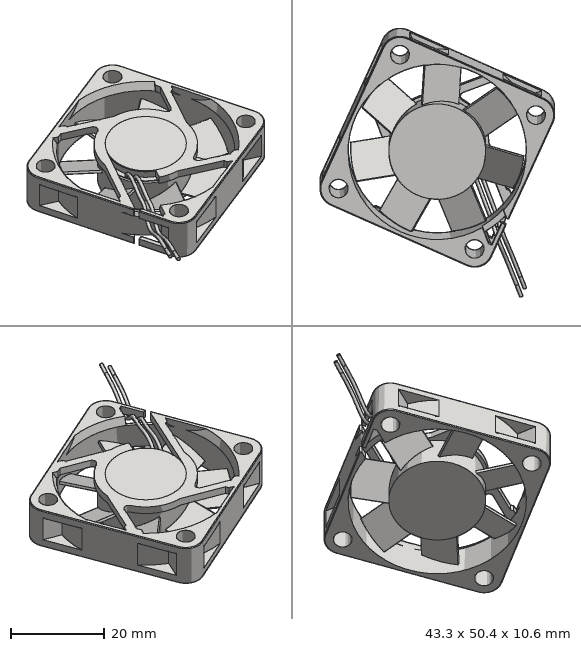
import cadquery as cq
import math


frame_side = 40.0
frame_height = 10.0
corner_radius = 4.0
edge_chamfer = 0.2
screw_pitch = 32.0
screw_hole_diameter = 4.0
wall_thickness = 0.95
bore_diameter = 38.2
mouth_diameter = 40.0

spider_thickness = 1.85
hub_plate_radius = 11.1
arm_inner_offset = 8.75
arm_width = 1.7
arm_fillet = 1.0

pocket_height = 6.0
pocket_outer_end = 15.5
pocket_ring_radius = 21.0
wire_pocket_ring_radius = 20.47

channel_edge_offset = 0.65
notch_edge_offset = 3.2
notch_end_x = 13.7
slot_start_x = 7.1
slot_end_x = 8.45
notch_ring_top = 8.05
notch_ring_bevel = 0.7

label_diameter = 17.4
label_thickness = 0.3
board_diameter = 19.75
board_thickness = 1.0
rotor_hub_diameter = 20.8
rotor_bottom = 0.3
rotor_rim_top = 8.0
blade_count = 7
blade_tip_radius = 18.6
blade_width = 8.75
blade_thickness = 0.6
blade_pitch = 27.0
blade_mid_height = 4.1
first_blade_angle = 5.0

wire_diameter = 0.8
tip_diameter = 0.79
tip_length = 2.85
wire_start_y = -9.2
wire_start_xs = (0.1, 2.03)

half_side = frame_side / 2
inner_half_side = half_side - wall_thickness
bore_radius = bore_diameter / 2
spider_bottom = frame_height - spider_thickness
arm_outer_offset = arm_inner_offset + arm_width
pocket_bottom = (frame_height - pocket_height) / 2
board_bottom = spider_bottom - board_thickness
through_height = frame_height + 2
long_side = 2 * frame_side


def cylinder(radius, bottom, top):
    return cq.Workplane("XY", origin=(0, 0, bottom)).circle(radius).extrude(top - bottom)


def prism(points, bottom, top):
    return cq.Workplane("XY", origin=(0, 0, bottom)).polyline(points).close().extrude(top - bottom)


def block(x_range, y_range, z_range):
    sizes = [high - low for low, high in (x_range, y_range, z_range)]
    corner = (x_range[0], y_range[0], z_range[0])
    return cq.Workplane("XY").box(*sizes, centered=False).translate(corner)


def about_axis(shape, angle):
    return shape.rotate((0, 0, 0), (0, 0, 1), angle)


def channel_strip(inner_offset, outer_offset, bottom, top):
    """Strip parallel to the wires; offsets are measured from the axis toward (-X, -Y)."""
    strip = block((0, long_side), (-outer_offset, -inner_offset), (bottom, top))
    return about_axis(strip, -45)


def frame_body():
    body = cq.Workplane("XY").rect(frame_side, frame_side).extrude(frame_height)
    body = body.edges("|Z").fillet(corner_radius)
    body = body.faces("<Z or >Z").edges().chamfer(edge_chamfer)
    body = body.cut(cylinder(bore_radius, -1, frame_height + 1))
    screw_holes = (
        cq.Workplane("XY", origin=(0, 0, -1))
        .rect(screw_pitch, screw_pitch, forConstruction=True)
        .vertices()
        .circle(screw_hole_diameter / 2)
        .extrude(through_height)
    )
    return body.cut(screw_holes)


def mouth_cut():
    """Conical inlet at the top of the bore, flattened where it meets the side walls."""
    cone = (
        cq.Workplane("XY", origin=(0, 0, spider_bottom))
        .circle(bore_radius)
        .workplane(offset=spider_thickness)
        .circle(mouth_diameter / 2)
        .loft(ruled=True)
    )
    inner_square = (-inner_half_side, inner_half_side)
    return cone.intersect(block(inner_square, inner_square, (0, frame_height)))


def side_pocket(ring_radius):
    """Pocket in the -Y face near the +X corner, closed by a 45 degree wall and the bore ring."""
    points = [
        (0, -half_side - 1),
        (pocket_outer_end + 1, -half_side - 1),
        (pocket_outer_end - half_side, 0),
        (0, 0),
    ]
    pocket = prism(points, pocket_bottom, pocket_bottom + pocket_height)
    return pocket.cut(cylinder(ring_radius, 0, frame_height))


def spider_arm():
    """Arm running at 45 degrees to the +Y wall, with its widened root."""
    bar = block((-long_side, 0), (arm_inner_offset, arm_outer_offset), (spider_bottom, frame_height))
    bar = about_axis(bar, -45)
    root_points = [
        (-2.66, 17.2),
        (-2.66, 18.2),
        (-3.4, inner_half_side),
        (-7.2, inner_half_side),
        (-7.2, 18.5),
        (-6.5, 17.7),
        (-5.0, 17.7),
    ]
    arm = bar.union(prism(root_points, spider_bottom, frame_height))
    inside = (-inner_half_side, inner_half_side)
    return arm.intersect(block(inside, inside, (0, frame_height)))


def spider():
    plate = cylinder(hub_plate_radius, spider_bottom, frame_height)
    for quarter in range(4):
        plate = plate.union(about_axis(spider_arm(), 90 * quarter))
    along = math.sqrt(hub_plate_radius**2 - arm_inner_offset**2)
    corner_angle = 45 + math.degrees(math.atan2(along, arm_inner_offset))
    for quarter in range(4):
        angle = math.radians(corner_angle + 90 * quarter)
        corner = (hub_plate_radius * math.cos(angle), hub_plate_radius * math.sin(angle), frame_height)
        plate = plate.edges("|Z").edges(cq.NearestToPointSelector(corner)).fillet(arm_fillet)
    return plate


def wire_channel():
    """Opening for the wires: hub plate gap, corner notch outside the bore ring, and wall slot."""
    hub_gap = channel_strip(channel_edge_offset, arm_inner_offset, spider_bottom - 0.01, frame_height + 1)
    hub_gap = hub_gap.intersect(cylinder(bore_radius - 1, 0, through_height))
    hub_gap = hub_gap.cut(cylinder(arm_inner_offset, 0, through_height))
    notch = channel_strip(notch_edge_offset, arm_inner_offset, -1, frame_height + 1)
    notch = notch.intersect(block((0, notch_end_x), (-inner_half_side, 0), (-1, through_height)))
    arm_side = arm_inner_offset * math.sqrt(2)
    slot_points = [
        (inner_half_side - arm_side, -inner_half_side),
        (slot_start_x, -arm_side - slot_start_x),
        (slot_start_x, -half_side - 1),
        (slot_end_x, -half_side - 1),
        (slot_end_x, -inner_half_side),
    ]
    slot = prism(slot_points, -1, through_height)
    ring = cylinder(wire_pocket_ring_radius, pocket_bottom, notch_ring_top)
    ring = ring.faces(">Z").edges().chamfer(notch_ring_bevel)
    spider_space = cylinder(bore_radius - 1, -1, through_height)
    return hub_gap.union(notch.union(slot).cut(ring).cut(spider_space))


def housing_body():
    body = frame_body().cut(mouth_cut())
    for quarter in range(4):
        ring_radius = wire_pocket_ring_radius if quarter == 0 else pocket_ring_radius
        body = body.cut(about_axis(side_pocket(ring_radius), 90 * quarter))
        body = body.cut(about_axis(side_pocket(pocket_ring_radius).mirror("YZ"), 90 * quarter))
    body = body.union(spider()).cut(wire_channel())
    return body.cut(cylinder(label_diameter / 2, frame_height - label_thickness, frame_height + 1))


def blade():
    """Pitched plate along +X; its counterclockwise edge is the higher one."""
    plate = cq.Workplane("XY").box(frame_side, blade_width, blade_thickness, centered=(False, True, True))
    plate = plate.rotate((0, 0, 0), (1, 0, 0), blade_pitch).translate((0, 0, blade_mid_height))
    return plate.intersect(cylinder(blade_tip_radius, 0, frame_height))


def rotor_body():
    body = cylinder(rotor_hub_diameter / 2, rotor_bottom, rotor_rim_top)
    for index in range(blade_count):
        body = body.union(about_axis(blade(), first_blade_angle + 360 / blade_count * index))
    return body.cut(cylinder(board_diameter / 2, board_bottom, frame_height))


wire_path = [
    (0.0, spider_bottom),
    (1.1, 9.5),
    (4.6, 10.17),
    (8.9, 9.65),
    (11.7, 9.45),
    (13.1, 8.1),
    (15.3, 6.38),
    (20.4, 8.2),
    (26.8, 9.75),
]
wire_end_slope = math.radians(9)


def wire_plane(start_x):
    return cq.Plane(origin=(start_x, wire_start_y, 0), xDir=(1, -1, 0), normal=(-1, -1, 0))


def wire_body(start_x):
    end_tangent = (math.cos(wire_end_slope), math.sin(wire_end_slope))
    path = cq.Workplane(wire_plane(start_x)).spline(wire_path, tangents=[(0, 1), end_tangent], scale=False)
    start = (start_x, wire_start_y, spider_bottom)
    return cq.Workplane("XY", origin=start).circle(wire_diameter / 2).sweep(path)


def tip_body(start_x):
    plane = wire_plane(start_x)
    start = plane.toWorldCoords(wire_path[-1])
    ahead = (
        wire_path[-1][0] + math.cos(wire_end_slope),
        wire_path[-1][1] + math.sin(wire_end_slope),
    )
    direction = plane.toWorldCoords(ahead) - start
    return cq.Workplane(cq.Plane(origin=start, normal=direction)).circle(tip_diameter / 2).extrude(tip_length)


housing = housing_body()
rotor = rotor_body()
board = cylinder(board_diameter / 2, board_bottom, spider_bottom)
label = cylinder(label_diameter / 2, frame_height - label_thickness, frame_height)
wires = [wire_body(start_x) for start_x in wire_start_xs]
tips = [tip_body(start_x) for start_x in wire_start_xs]

bodies = [housing, rotor, board, label, *wires, *tips]
result = cq.Compound.makeCompound([body.solids().val() for body in bodies])